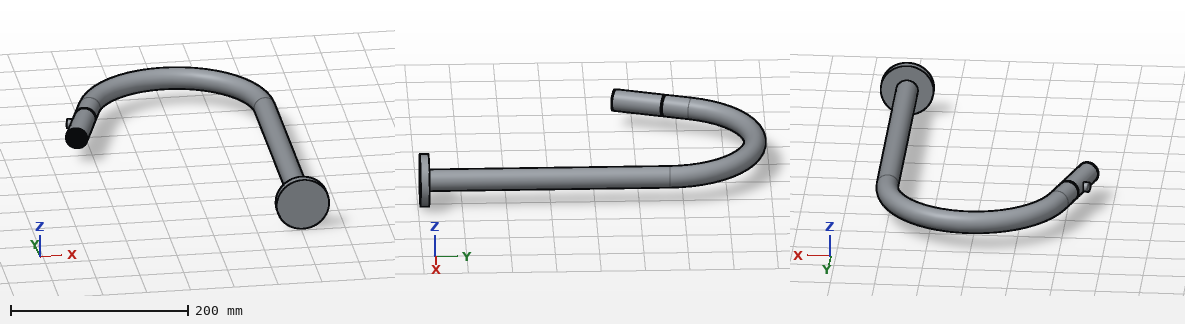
import cadquery as cq
import math

total_height = 394.2
tube_diameter = 25.0
bend_radius = 100.0
outlet_tilt = 18.0
outlet_tube_length = 30.0

flange_diameter = 60.0
flange_thickness = 10.0
flange_floor = 1.5

head_length = 60.0
groove_width = 2.0
groove_depth = 0.5

button_offset = 19.7
button_diameter = 11.0
button_reach = 17.5
button_rim_radius = 0.8

nozzle_diameter = 1.5
nozzle_depth = 1.0
nozzle_pitch = 2.2
nozzle_rings = 5
nozzles_per_ring_step = 6

tube_radius = tube_diameter / 2
column_height = total_height - tube_radius - bend_radius
tilt = math.radians(outlet_tilt)
bend_angle = math.pi - tilt
origin = cq.Vector(0, 0, 0)
column_direction = cq.Vector(0, 1, 0)
outlet_direction = cq.Vector(-math.sin(tilt), -math.cos(tilt), 0)
button_direction = cq.Vector(-math.cos(tilt), math.sin(tilt), 0)
tube_start = column_direction * flange_floor


def point_on_bend(angle):
    """Point on the centre line of the bend, angle in radians from the column."""
    x = bend_radius * (math.cos(angle) - 1)
    y = column_height + bend_radius * math.sin(angle)
    return cq.Vector(x, y, 0)


tube_end = point_on_bend(bend_angle) + outlet_direction * outlet_tube_length
head_tip = tube_end + outlet_direction * head_length


def rod(start, direction, diameter, length):
    """Solid cylinder that starts at a point and runs along a direction."""
    return cq.Workplane(cq.Solid.makeCylinder(diameter / 2, length, start, direction))


def make_flange():
    """Round base plate with a blind socket that holds the foot of the tube."""
    plate = rod(origin, column_direction, flange_diameter, flange_thickness)
    socket = rod(tube_start, column_direction, tube_diameter, flange_thickness)
    return plate.cut(socket)


def make_tube():
    """Straight column, bend and short straight outlet, swept as one round bar."""
    bend_middle = point_on_bend(bend_angle / 2)
    bend_end = point_on_bend(bend_angle)
    path = (
        cq.Workplane("XY")
        .moveTo(tube_start.x, tube_start.y)
        .lineTo(0, column_height)
        .threePointArc((bend_middle.x, bend_middle.y), (bend_end.x, bend_end.y))
        .lineTo(tube_end.x, tube_end.y)
    )
    return cq.Workplane("XZ", origin=tube_start.toTuple()).circle(tube_radius).sweep(path)


def make_button():
    """Push button on the outer side of the head, with a rounded rim."""
    base = tube_end + outlet_direction * button_offset
    button = rod(base, button_direction, button_diameter, button_reach)
    outer_face = button.faces(cq.selectors.DirectionMinMaxSelector(button_direction))
    return outer_face.edges().fillet(button_rim_radius)


def make_nozzles():
    """Blind holes in concentric rings, sunk into the tip of the spray head."""
    holes = []
    for ring in range(nozzle_rings + 1):
        count = max(1, ring * nozzles_per_ring_step)
        for index in range(count):
            angle = 2 * math.pi * index / count
            across = button_direction * (ring * nozzle_pitch * math.cos(angle))
            upward = cq.Vector(0, 0, ring * nozzle_pitch * math.sin(angle))
            mouth = head_tip + across + upward
            holes.append(rod(mouth, -outlet_direction, nozzle_diameter, nozzle_depth).val())
    return cq.Workplane(cq.Compound.makeCompound(holes))


def make_spray_head():
    """Round head with a shallow groove at the tube, a push button and a nozzle face."""
    neck_diameter = tube_diameter - 2 * groove_depth
    neck = rod(tube_end, outlet_direction, neck_diameter, groove_width)
    barrel_start = tube_end + outlet_direction * groove_width
    barrel = rod(barrel_start, outlet_direction, tube_diameter, head_length - groove_width)
    return barrel.cut(make_nozzles()).union(neck).union(make_button())


def make_spout():
    """Tube and spray head as one solid."""
    return make_tube().union(make_spray_head())


flange = make_flange()
spout = make_spout()
result = cq.Compound.makeCompound([flange.solids().val(), spout.solids().val()])